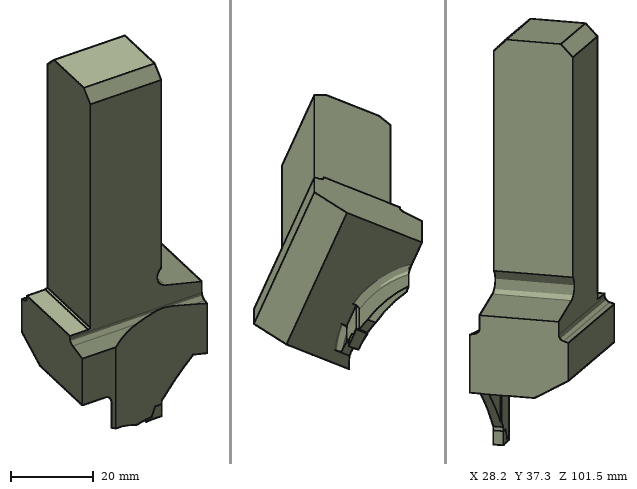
import cadquery as cq
import math


height = 101.5
shank_width = 20.0
shank_front = 5.8
shank_back = shank_front + shank_width
shank_chamfer = 3.0

head_left = -2.4
head_right = 25.8
head_depth = 37.3
head_bottom = 15.7
ledge_height = 32.7
ledge_ramp_run = 0.6
ledge_ramp_rise = 0.3
left_shoulder_height = 30.2
left_neck_height = 31.0
right_shoulder_height = 29.4
right_neck_height = 30.9
neck_radius = 1.6
slope_start_x = 6.1
slope_start_height = 20.7

shoulder_back_height = 35.3
undercut_low = (26.8, 38.0)
undercut_middle = (24.7, 40.6)
undercut_high = 43.4

curve_center_y = 26.1
clearance_radius = 27.1
clearance_left = 20.1
clearance_center_x = clearance_left + clearance_radius
blade_radius = 24.3
blade_left = 17.9
blade_center_x = blade_left + blade_radius
blade_front = 8.1
blade_back = 34.0
blade_blank_right = head_right + 10.2
blade_bottom = 0.9
root_radius = 1.7

seat_left = 17.6
seat_front = 21.2
seat_back = 27.1
tip_back = 25.9
front_slope_start_y = 18.1
front_slope_end_height = 6.3
back_wall_height = 4.6

tip_top = 3.6
tip_top_front = 24.0
tip_neck_front = 22.8
tip_front_bottom = 0.2


def clearance_cylinder():
    """Vertical cylinder that the groove wall clears."""
    return (
        cq.Workplane("XY")
        .center(clearance_center_x, curve_center_y)
        .circle(clearance_radius)
        .extrude(height)
    )


def make_head():
    """Head section, rounded where it meets the neck."""
    head = (
        cq.Workplane("XZ")
        .moveTo(head_left, left_shoulder_height)
        .lineTo(0, left_neck_height)
        .lineTo(0, ledge_height)
        .lineTo(shank_width, ledge_height)
        .lineTo(shank_width, right_neck_height)
        .lineTo(head_right, right_shoulder_height)
        .lineTo(head_right, head_bottom)
        .lineTo(slope_start_x, head_bottom)
        .lineTo(head_left, slope_start_height)
        .close()
        .extrude(-head_depth)
    )
    middle_y = head_depth / 2
    head = head.edges(cq.NearestToPointSelector((0, middle_y, left_neck_height))).fillet(neck_radius)
    right_neck = cq.NearestToPointSelector((shank_width, middle_y, right_neck_height))
    return head.edges(right_neck).fillet(neck_radius)


def make_shank():
    """Square shank with its back shoulder and chamfered top."""
    return (
        cq.Workplane("YZ")
        .moveTo(shank_front - ledge_ramp_run, ledge_height)
        .lineTo(shank_front, ledge_height + ledge_ramp_rise)
        .lineTo(shank_front, height)
        .lineTo(shank_back, height)
        .lineTo(shank_back, undercut_high)
        .threePointArc(undercut_middle, undercut_low)
        .lineTo(head_depth, shoulder_back_height)
        .lineTo(head_depth, ledge_height)
        .close()
        .extrude(shank_width)
        .faces(">Z")
        .edges("|Y")
        .chamfer(shank_chamfer)
    )


def blade_outline_x(y):
    """X of the convex blade surface at a given Y."""
    return blade_center_x - math.sqrt(blade_radius**2 - (y - curve_center_y) ** 2)


def make_blade():
    """Oversized curved blade before it is trimmed to the head and its lower profile."""
    return (
        cq.Workplane("XY")
        .moveTo(blade_blank_right, blade_front)
        .lineTo(blade_outline_x(blade_front), blade_front)
        .threePointArc(
            (blade_left, curve_center_y),
            (blade_outline_x(head_depth), head_depth),
        )
        .lineTo(blade_blank_right, head_depth)
        .close()
        .extrude(ledge_height)
    )


def make_seat():
    """Flat pad that carries the tip."""
    return (
        cq.Workplane("XY")
        .box(clearance_left - seat_left, seat_back - seat_front, head_bottom, centered=False)
        .translate((seat_left, seat_front, 0))
    )


def blade_trim():
    """Side profile kept below the head."""
    collar_front = blade_front - root_radius
    return (
        cq.Workplane("YZ")
        .moveTo(tip_back, blade_bottom)
        .lineTo(front_slope_start_y, blade_bottom)
        .lineTo(blade_front, front_slope_end_height)
        .lineTo(collar_front, front_slope_end_height)
        .lineTo(collar_front, head_bottom)
        .lineTo(blade_back, head_bottom)
        .lineTo(tip_back, back_wall_height)
        .close()
        .extrude(head_right)
    )


def make_root():
    """Blade blank with a fillet collar against the underside of the head."""
    slab = (
        cq.Workplane("XY")
        .box(blade_blank_right, head_depth, ledge_height - head_bottom, centered=False)
        .translate((0, 0, head_bottom))
    )
    curved_edge = cq.NearestToPointSelector((blade_left, curve_center_y, head_bottom))
    front_edge_x = (blade_outline_x(blade_front) + blade_blank_right) / 2
    front_edge = cq.NearestToPointSelector((front_edge_x, blade_front, head_bottom))
    blank = slab.union(make_blade())
    return blank.edges(curved_edge + front_edge).fillet(root_radius).cut(slab)


def tip_prism():
    """Side profile of the cutting tip."""
    return (
        cq.Workplane("YZ", origin=(seat_left, 0, 0))
        .moveTo(tip_back, 0)
        .lineTo(tip_back, tip_top)
        .lineTo(tip_top_front, tip_top)
        .lineTo(tip_neck_front, blade_bottom)
        .lineTo(seat_front, blade_bottom)
        .lineTo(seat_front, tip_front_bottom)
        .close()
        .extrude(head_right - seat_left)
    )


def make_holder():
    """Shank, head and blade as one body, with a seat cut for the tip."""
    seat_clearance = (
        cq.Workplane("XY")
        .box(seat_left, seat_back - seat_front, head_bottom, centered=False)
        .translate((0, seat_front, 0))
    )
    blade = make_root().union(make_seat()).intersect(blade_trim()).cut(seat_clearance)
    body = make_head().union(make_shank()).union(blade)
    return body.cut(clearance_cylinder()).cut(tip_prism())


def make_tip():
    """Cutting tip, hollowed behind by the clearance cylinder."""
    return tip_prism().cut(clearance_cylinder())


holder = make_holder()
tip = make_tip()
result = cq.Compound.makeCompound([holder.solids().val(), tip.solids().val()])